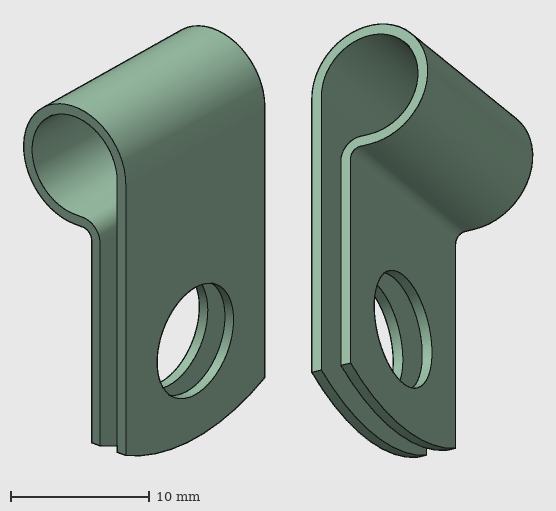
import cadquery as cq
import math

height = 28.57
width = 15.88
thickness = 0.8

outer_radius = 4.77
inner_radius = outer_radius - thickness

leg_gap = 1.6
bend_inner_radius = 0.8
bend_outer_radius = bend_inner_radius + thickness

hole_diameter = 8.7
hole_above_bottom = 7.9
end_drop = 1.77

bottom_z = outer_radius - height
front_leg_inner_x = inner_radius - leg_gap
front_leg_outer_x = front_leg_inner_x - thickness
bend_x = front_leg_inner_x - bend_outer_radius
bend_z = -inner_radius - bend_outer_radius


def strip():
    """Bent strip: straight back leg, loop, reverse bend and front leg."""
    diagonal = math.sqrt(0.5)
    bend_outer_mid = (bend_x + bend_outer_radius * diagonal, bend_z + bend_outer_radius * diagonal)
    bend_inner_mid = (bend_x + bend_inner_radius * diagonal, bend_z + bend_inner_radius * diagonal)
    loop_outer_mid = (-outer_radius * diagonal, outer_radius * diagonal)
    loop_inner_mid = (-inner_radius * diagonal, inner_radius * diagonal)
    return (
        cq.Workplane("XZ")
        .moveTo(outer_radius, bottom_z)
        .lineTo(outer_radius, 0)
        .threePointArc(loop_outer_mid, (0, -outer_radius))
        .lineTo(bend_x, -outer_radius)
        .threePointArc(bend_inner_mid, (front_leg_outer_x, bend_z))
        .lineTo(front_leg_outer_x, bottom_z)
        .lineTo(front_leg_inner_x, bottom_z)
        .lineTo(front_leg_inner_x, bend_z)
        .threePointArc(bend_outer_mid, (bend_x, -inner_radius))
        .lineTo(0, -inner_radius)
        .threePointArc(loop_inner_mid, (inner_radius, 0))
        .lineTo(inner_radius, bottom_z)
        .close()
        .extrude(width / 2, both=True)
    )


def side_outline():
    """Block seen along X, with an arc along its lower end."""
    corner_z = bottom_z + end_drop
    return (
        cq.Workplane("YZ")
        .moveTo(-width / 2, outer_radius)
        .lineTo(-width / 2, corner_z)
        .threePointArc((0, bottom_z), (width / 2, corner_z))
        .lineTo(width / 2, outer_radius)
        .close()
        .extrude(outer_radius, both=True)
    )


def mounting_hole():
    """Cylinder along X through both legs."""
    return (
        cq.Workplane("YZ")
        .center(0, bottom_z + hole_above_bottom)
        .circle(hole_diameter / 2)
        .extrude(outer_radius, both=True)
    )


result = strip().intersect(side_outline()).cut(mounting_hole())